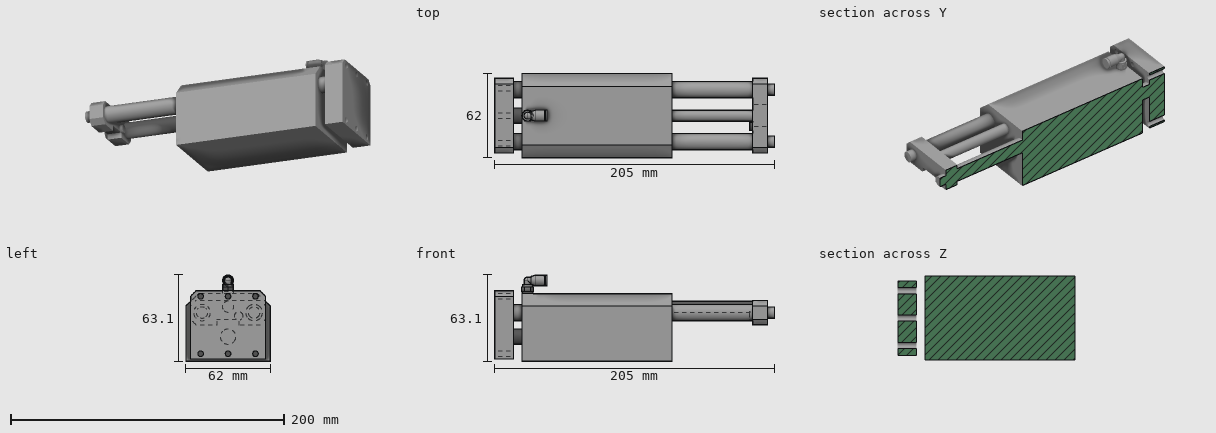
import cadquery as cq
TOTAL_LENGTH = 205.0
TOTAL_HEIGHT = 63.1

HOUSING_START = 20.0
HOUSING_LENGTH = 109.9
HOUSING_WIDTH = 62.0
HOUSING_HEIGHT = 49.6
HOUSING_CHAMFER_WIDTH = 9.6
HOUSING_CHAMFER_HEIGHT = 9.0
HOUSING_END = HOUSING_START + HOUSING_LENGTH

PLATE_WIDTH = 55.0
PLATE_CHAMFER = 4.0
TOOL_PLATE_THICKNESS = 14.0
TOOL_PLATE_BOTTOM = 1.6
TOOL_PLATE_HEIGHT = 50.0
TOOL_HOLE_DIAMETER = 4.0
TOOL_HOLE_PITCH = 20.0
TOOL_HOLE_ROW_SPACING = 42.0
TOOL_HOLE_ROW_BOTTOM = 5.5

REAR_PLATE_THICKNESS = 10.9
REAR_PLATE_HEIGHT = 18.0
ROD_STUB_LENGTH = 5.1
ROD_STUB_DIAMETER = 8.5
REAR_PLATE_END = TOTAL_LENGTH - ROD_STUB_LENGTH
REAR_PLATE_START = REAR_PLATE_END - REAR_PLATE_THICKNESS
REAR_NOTCH_WIDTH = 16.2
REAR_NOTCH_DEPTH = 4.0

GUIDE_ROD_DIAMETER = 12.0
GUIDE_ROD_OFFSET = 19.0
GUIDE_ROD_Z = 35.7
PISTON_ROD_DIAMETER = 11.3
PISTON_ROD_Z = 18.0
STOP_ROD_DIAMETER = 8.2
STOP_ROD_Z = 40.0
REAR_PIN_DIAMETER = 6.2
REAR_PIN_LENGTH = 2.3
REAR_PIN_Y = -7.8
REAR_PIN_Z = 33.2

ELBOW_X = 24.2
COLLAR_DIAMETER = 8.0
COLLAR_HEIGHT = 1.6
HEX_SIDES = 6
HEX_ACROSS_FLATS = 7.8
HEX_HEIGHT = 3.3
HEX_TURN = 180 / HEX_SIDES
NECK_DIAMETER = 7.8
NECK_HEIGHT = 1.6
ARM_DIAMETER = 5.1
SOCKET_DIAMETER = 8.0
ARM_Z = TOTAL_HEIGHT - SOCKET_DIAMETER / 2 - HOUSING_HEIGHT
CONE_START = 2.7
CONE_SMALL_DIAMETER = 6.2
SOCKET_START = 5.7
SOCKET_LENGTH = 6.5
GROOVE_DIAMETER = 6.2
GROOVE_LENGTH = 0.8
RELEASE_RING_LENGTH = 1.2
RELEASE_RING_DIAMETER = SOCKET_DIAMETER


def rod(diameter, start, end, y, z):
    """Round bar along X."""
    face = cq.Workplane("YZ", origin=(start, y, z))
    return face.circle(diameter / 2).extrude(end - start)


def make_housing():
    """Block with the two long upper edges chamfered."""
    half = HOUSING_WIDTH / 2
    shoulder = HOUSING_HEIGHT - HOUSING_CHAMFER_HEIGHT
    top_half = half - HOUSING_CHAMFER_WIDTH
    return (
        cq.Workplane("YZ", origin=(HOUSING_START, 0, 0))
        .polyline([
            (-half, 0),
            (half, 0),
            (half, shoulder),
            (top_half, HOUSING_HEIGHT),
            (-top_half, HOUSING_HEIGHT),
            (-half, shoulder),
        ])
        .close()
        .extrude(HOUSING_LENGTH)
    )


def make_tool_plate():
    """Front plate with two chamfered upper edges and two rows of three holes."""
    plate = (
        cq.Workplane("XY", origin=(0, 0, TOOL_PLATE_BOTTOM))
        .box(TOOL_PLATE_THICKNESS, PLATE_WIDTH, TOOL_PLATE_HEIGHT, centered=(False, True, False))
        .edges("|X and >Z")
        .chamfer(PLATE_CHAMFER)
    )
    row_middle = TOOL_HOLE_ROW_BOTTOM + TOOL_HOLE_ROW_SPACING / 2
    holes = (
        cq.Workplane("YZ", origin=(0, 0, row_middle))
        .rarray(TOOL_HOLE_PITCH, TOOL_HOLE_ROW_SPACING, 3, 2)
        .circle(TOOL_HOLE_DIAMETER / 2)
        .extrude(TOOL_PLATE_THICKNESS)
    )
    return plate.cut(holes)


def make_rear_plate():
    """Tie plate with four chamfered edges and a flat notch in the middle of its underside."""
    plate = (
        cq.Workplane("XY", origin=((REAR_PLATE_START + REAR_PLATE_END) / 2, 0, GUIDE_ROD_Z))
        .box(REAR_PLATE_THICKNESS, PLATE_WIDTH, REAR_PLATE_HEIGHT)
        .edges("|X")
        .chamfer(PLATE_CHAMFER)
    )
    plate_bottom = GUIDE_ROD_Z - REAR_PLATE_HEIGHT / 2
    notch = (
        cq.Workplane("XY", origin=(REAR_PLATE_START, 0, plate_bottom))
        .box(REAR_PLATE_THICKNESS, REAR_NOTCH_WIDTH, REAR_NOTCH_DEPTH, centered=(False, True, False))
    )
    return plate.cut(notch)


def make_actuator():
    """Housing, end plates and rods as one solid."""
    actuator = make_housing().union(make_tool_plate()).union(make_rear_plate())
    for y in (-GUIDE_ROD_OFFSET, GUIDE_ROD_OFFSET):
        front = rod(GUIDE_ROD_DIAMETER, TOOL_PLATE_THICKNESS, HOUSING_START, y, GUIDE_ROD_Z)
        rear = rod(GUIDE_ROD_DIAMETER, HOUSING_END, REAR_PLATE_START, y, GUIDE_ROD_Z)
        stub = rod(ROD_STUB_DIAMETER, REAR_PLATE_END, TOTAL_LENGTH, y, GUIDE_ROD_Z)
        actuator = actuator.union(front).union(rear).union(stub)
    piston_rod = rod(PISTON_ROD_DIAMETER, TOOL_PLATE_THICKNESS, HOUSING_START, 0, PISTON_ROD_Z)
    stop_rod = rod(STOP_ROD_DIAMETER, HOUSING_END, REAR_PLATE_START, 0, STOP_ROD_Z)
    pin_start = REAR_PLATE_START - REAR_PIN_LENGTH
    rear_pin = rod(REAR_PIN_DIAMETER, pin_start, REAR_PLATE_START, REAR_PIN_Y, REAR_PIN_Z)
    return actuator.union(piston_rod).union(stop_rod).union(rear_pin)


def make_elbow_fitting():
    """Push-in elbow: hexagon base standing on the housing and a tube socket pointing along +X."""
    base = cq.Workplane("XY", origin=(ELBOW_X, 0, HOUSING_HEIGHT))
    collar = base.circle(COLLAR_DIAMETER / 2).extrude(COLLAR_HEIGHT)
    hexagon = (
        base.workplane(offset=COLLAR_HEIGHT)
        .transformed(rotate=(0, 0, HEX_TURN))
        .polygon(HEX_SIDES, HEX_ACROSS_FLATS, circumscribed=True)
        .extrude(HEX_HEIGHT)
    )
    neck = (
        base.workplane(offset=COLLAR_HEIGHT + HEX_HEIGHT)
        .circle(NECK_DIAMETER / 2)
        .extrude(NECK_HEIGHT)
    )
    stem = base.circle(ARM_DIAMETER / 2).extrude(ARM_Z)
    ball = base.workplane(offset=ARM_Z).sphere(ARM_DIAMETER / 2)

    socket_end = SOCKET_START + SOCKET_LENGTH
    ring_start = socket_end + GROOVE_LENGTH
    ring_end = ring_start + RELEASE_RING_LENGTH
    arm = (
        cq.Workplane("XZ", origin=(ELBOW_X, 0, HOUSING_HEIGHT + ARM_Z))
        .polyline([
            (0, 0),
            (0, ARM_DIAMETER / 2),
            (CONE_START, ARM_DIAMETER / 2),
            (CONE_START, CONE_SMALL_DIAMETER / 2),
            (SOCKET_START, SOCKET_DIAMETER / 2),
            (socket_end, SOCKET_DIAMETER / 2),
            (socket_end, GROOVE_DIAMETER / 2),
            (ring_start, GROOVE_DIAMETER / 2),
            (ring_start, RELEASE_RING_DIAMETER / 2),
            (ring_end, RELEASE_RING_DIAMETER / 2),
            (ring_end, 0),
        ])
        .close()
        .revolve(360, (0, 0, 0), (1, 0, 0))
    )
    return collar.union(hexagon).union(neck).union(stem).union(ball).union(arm)


actuator = make_actuator()
elbow_fitting = make_elbow_fitting()
result = cq.Compound.makeCompound([actuator.val(), elbow_fitting.val()])